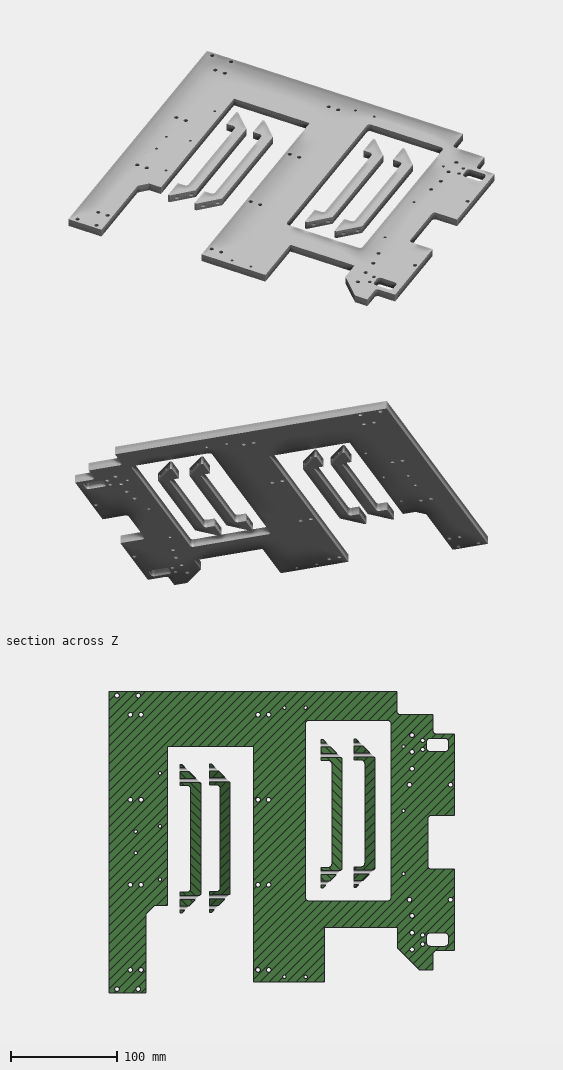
import cadquery as cq

THICKNESS = 8.1
PLATE_LENGTH = 325.0
PLATE_WIDTH = 284.0
HALF_WIDTH = PLATE_WIDTH / 2
CORNER_RADIUS = 3.0

LEFT_LEG_WIDTH = 35.0
BAY_LEFT = 55.5
BAY_WIDTH = 80.0
BAY_RIGHT = BAY_LEFT + BAY_WIDTH
BAY_TOP = 90.0
LEDGE_Y = -59.7
LEDGE_CHAMFER = 8.0

MIDDLE_LEG_RIGHT = 203.0
MIDDLE_LEG_BOTTOM = -131.5
STRIP_BOTTOM = -80.5

INNER_STEP_X = 271.0
INNER_STEP_Y = 120.2
OUTER_STEP_X = 305.0
OUTER_STEP_Y = 102.0
END_CHAMFER = 21.0
END_NOTCH_X = 300.0
END_NOTCH_HALF_WIDTH = 25.0

WINDOW_LEFT = 185.0
WINDOW_LENGTH = 80.0
WINDOW_TOP = 114.5
WINDOW_BOTTOM = -55.0

SLOT_LENGTH = 20.2
SLOT_WIDTH = 12.0
SLOT_X = 309.0
SLOT_Y = 91.5

LARGE_HOLE = 4.0
MEDIUM_HOLE = 3.6
SMALL_HOLE = 2.8
RAIL_COLUMNS = [20.2, 140.2]
RAIL_PAIR_PITCH = 10.0
RAIL_ROW_PITCH = 80.0
RAIL_ROWS = 4
FOOT_HOLE_XS = [7.6, 27.6]
FOOT_HOLE_Y = HALF_WIDTH - 4.0
LEG_PAIR_X = RAIL_COLUMNS[0] + RAIL_PAIR_PITCH / 2
LEG_PAIR_Y = 10.0
BAY_EDGE_HOLE_X = 48.0
BAY_EDGE_HOLE_Y = 15.0
BAY_EDGE_HOLE_PITCH = 50.0
STOP_HOLE_XS = [165.0, 185.0]
STOP_HOLE_Y = 126.5
END_ROW_X = 285.0
END_ROW_Y = 85.0
END_ROW_PITCH = 15.8
END_MOUNT_XS = [282.6, 321.2]
END_MOUNT_Y = 54.0
SLOT_HOLE_X = 295.0
SLOT_HOLE_PITCH = 8.5
END_SMALL_X = 277.0
END_SMALL_YS = [90.0, 29.7, -29.7]

HANDLE_LENGTH = 140.0
HANDLE_DEPTH = 20.0
HANDLE_BAR_WIDTH = 10.0
HANDLE_FOOT_LENGTH = 20.0
HANDLE_TIP_WIDTH = 2.0
HANDLE_FILLET = 3.0
HANDLE_HOLE = 3.3
HANDLE_HOLE_INSETS = [5.0, 15.0]
HANDLE_PLACES = [(66.6, 3.3), (94.3, 3.8), (199.3, 26.7), (230.3, 27.2)]


def through_cutters(points, diameter):
    """Round cutters through the full thickness at the given points."""
    return cq.Workplane("XY").pushPoints(points).circle(diameter / 2).extrude(THICKNESS)


def rounded_window(x_center, y_center, length, width):
    """Rectangular cutter with rounded corners through the full thickness."""
    block = cq.Workplane("XY").center(x_center, y_center).rect(length, width).extrude(THICKNESS)
    return block.edges("|Z").fillet(CORNER_RADIUS)


def mirrored(xs, y):
    """Points at every x, on both sides of the middle line."""
    return [(x, side * y) for x in xs for side in (1, -1)]


def plate_blank():
    """Outline of the base plate, with its concave right-end corners rounded."""
    rounded_corners = [
        (INNER_STEP_X, INNER_STEP_Y),
        *mirrored([OUTER_STEP_X], OUTER_STEP_Y),
        *mirrored([END_NOTCH_X], END_NOTCH_HALF_WIDTH),
    ]
    outline = [
        (0, HALF_WIDTH),
        (INNER_STEP_X, HALF_WIDTH),
        (INNER_STEP_X, INNER_STEP_Y),
        (OUTER_STEP_X, INNER_STEP_Y),
        (OUTER_STEP_X, OUTER_STEP_Y),
        (PLATE_LENGTH, OUTER_STEP_Y),
        (PLATE_LENGTH, END_NOTCH_HALF_WIDTH),
        (END_NOTCH_X, END_NOTCH_HALF_WIDTH),
        (END_NOTCH_X, -END_NOTCH_HALF_WIDTH),
        (PLATE_LENGTH, -END_NOTCH_HALF_WIDTH),
        (PLATE_LENGTH, -OUTER_STEP_Y),
        (OUTER_STEP_X, -OUTER_STEP_Y),
        (OUTER_STEP_X, -INNER_STEP_Y),
        (INNER_STEP_X + END_CHAMFER, -INNER_STEP_Y),
        (INNER_STEP_X, -INNER_STEP_Y + END_CHAMFER),
        (INNER_STEP_X, STRIP_BOTTOM),
        (MIDDLE_LEG_RIGHT, STRIP_BOTTOM),
        (MIDDLE_LEG_RIGHT, MIDDLE_LEG_BOTTOM),
        (BAY_RIGHT, MIDDLE_LEG_BOTTOM),
        (BAY_RIGHT, BAY_TOP),
        (BAY_LEFT, BAY_TOP),
        (BAY_LEFT, LEDGE_Y),
        (LEFT_LEG_WIDTH + LEDGE_CHAMFER, LEDGE_Y),
        (LEFT_LEG_WIDTH, LEDGE_Y - LEDGE_CHAMFER),
        (LEFT_LEG_WIDTH, -HALF_WIDTH),
        (0, -HALF_WIDTH),
    ]
    blank = cq.Workplane("XY").polyline(outline).close().extrude(THICKNESS)
    for x, y in rounded_corners:
        corner = cq.selectors.NearestToPointSelector((x, y, THICKNESS / 2))
        blank = blank.edges("|Z").edges(corner).fillet(CORNER_RADIUS)
    return blank


def large_hole_points():
    """Rail hole pairs, the left leg's end holes and the right end's fixing holes."""
    rail_xs = [x + step for x in RAIL_COLUMNS for step in (0, RAIL_PAIR_PITCH)]
    rail_ys = [(row - (RAIL_ROWS - 1) / 2) * RAIL_ROW_PITCH for row in range(RAIL_ROWS)]
    points = [(x, y) for x in rail_xs for y in rail_ys]
    points += mirrored(FOOT_HOLE_XS, FOOT_HOLE_Y)
    for step in (-1, 0, 1):
        points += mirrored([END_ROW_X], END_ROW_Y + step * END_ROW_PITCH)
    points += mirrored(END_MOUNT_XS, END_MOUNT_Y)
    return points


def medium_hole_points():
    """Pairs of holes beside the slots."""
    points = []
    for side in (-1, 1):
        points += mirrored([SLOT_HOLE_X], SLOT_Y + side * SLOT_HOLE_PITCH / 2)
    return points


def small_hole_points():
    """Small holes on the legs, along the bay and at the right end."""
    points = mirrored([LEG_PAIR_X], LEG_PAIR_Y)
    points += [(BAY_EDGE_HOLE_X, BAY_EDGE_HOLE_Y + step * BAY_EDGE_HOLE_PITCH) for step in (-1, 0, 1)]
    points += mirrored(STOP_HOLE_XS, STOP_HOLE_Y)
    points += [(END_SMALL_X, y) for y in END_SMALL_YS]
    return points


def make_base_plate():
    """Flat plate with its window, slots and holes."""
    plate = plate_blank()
    plate = plate.cut(
        rounded_window(
            WINDOW_LEFT + WINDOW_LENGTH / 2,
            (WINDOW_TOP + WINDOW_BOTTOM) / 2,
            WINDOW_LENGTH,
            WINDOW_TOP - WINDOW_BOTTOM,
        )
    )
    for x, y in mirrored([SLOT_X], SLOT_Y):
        plate = plate.cut(rounded_window(x, y, SLOT_LENGTH, SLOT_WIDTH))
    plate = plate.cut(through_cutters(large_hole_points(), LARGE_HOLE))
    plate = plate.cut(through_cutters(medium_hole_points(), MEDIUM_HOLE))
    return plate.cut(through_cutters(small_hole_points(), SMALL_HOLE))


def make_handle(x_left, y_center):
    """Bow handle: two feet facing -X, 45-degree outer corners and fixing holes along X."""
    half_length = HANDLE_LENGTH / 2
    bar_left = HANDLE_DEPTH - HANDLE_BAR_WIDTH
    foot_inner_y = half_length - HANDLE_FOOT_LENGTH
    slant_end_y = half_length - (HANDLE_DEPTH - HANDLE_TIP_WIDTH)
    outline = [
        (0, half_length),
        (HANDLE_TIP_WIDTH, half_length),
        (HANDLE_DEPTH, slant_end_y),
        (HANDLE_DEPTH, -slant_end_y),
        (HANDLE_TIP_WIDTH, -half_length),
        (0, -half_length),
        (0, -foot_inner_y),
        (bar_left, -foot_inner_y),
        (bar_left, foot_inner_y),
        (0, foot_inner_y),
    ]
    handle = cq.Workplane("XY").polyline(outline).close().extrude(THICKNESS)
    for side in (1, -1):
        corner = cq.selectors.NearestToPointSelector((bar_left, side * foot_inner_y, THICKNESS / 2))
        handle = handle.edges("|Z").edges(corner).fillet(HANDLE_FILLET)

    hole_distances = [half_length - inset for inset in HANDLE_HOLE_INSETS]
    hole_points = [(side * distance, THICKNESS / 2) for distance in hole_distances for side in (1, -1)]
    holes = cq.Workplane("YZ").pushPoints(hole_points).circle(HANDLE_HOLE / 2).extrude(HANDLE_DEPTH)
    return handle.cut(holes).translate((x_left, y_center, 0))


base_plate = make_base_plate()
handles = [make_handle(x, y) for x, y in HANDLE_PLACES]

result = cq.Compound.makeCompound([base_plate.val(), *[handle.val() for handle in handles]])